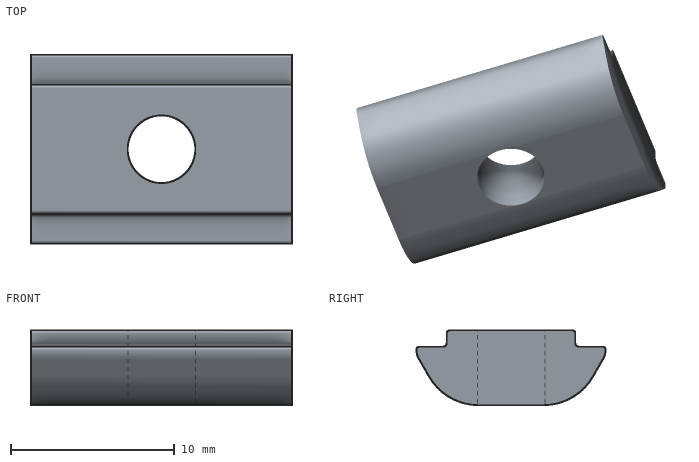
import cadquery as cq
import math

length = 16.0
width = 11.6
height = 4.6

land_width = 7.9
shoulder_z = 3.6
corner_radius = 0.2
inner_radius = 0.2

flank_angle = math.radians(30)
flank_radius = 1.1
bottom_radius = 3.5

hole_diameter = 4.13


def polar(center, radius, angle):
    """Point on a circle in the YZ plane, with the angle measured from +Y."""
    return (center[0] + radius * math.cos(angle), center[1] + radius * math.sin(angle))


def half_profile():
    """Closed +Y half of the cross-section in the YZ plane, bounded by the centre line."""
    half_width = width / 2
    half_land = land_width / 2

    land_center = (half_land - corner_radius, height - corner_radius)
    inner_center = (half_land + inner_radius, shoulder_z + inner_radius)
    shoulder_center = (half_width - corner_radius, shoulder_z - corner_radius)
    flank_center = (half_width - flank_radius, shoulder_z - corner_radius)
    flank_end = polar(flank_center, flank_radius, -flank_angle)

    blend_start_z = bottom_radius * (1 - math.sin(flank_angle))
    blend_start_y = flank_end[0] - (flank_end[1] - blend_start_z) * math.tan(flank_angle)
    bottom_center = (blend_start_y - bottom_radius * math.cos(flank_angle), bottom_radius)

    middle_of_corner = math.radians(45)
    middle_of_inner = math.radians(225)
    middle_of_bottom = -(flank_angle + math.pi / 2) / 2

    return (
        cq.Workplane("YZ")
        .moveTo(0, 0)
        .lineTo(bottom_center[0], 0)
        .threePointArc(
            polar(bottom_center, bottom_radius, middle_of_bottom),
            (blend_start_y, blend_start_z),
        )
        .lineTo(*flank_end)
        .threePointArc(
            polar(flank_center, flank_radius, -flank_angle / 2),
            (half_width, flank_center[1]),
        )
        .threePointArc(
            polar(shoulder_center, corner_radius, middle_of_corner),
            (shoulder_center[0], shoulder_z),
        )
        .lineTo(inner_center[0], shoulder_z)
        .threePointArc(
            polar(inner_center, inner_radius, middle_of_inner),
            (half_land, inner_center[1]),
        )
        .lineTo(half_land, land_center[1])
        .threePointArc(
            polar(land_center, corner_radius, middle_of_corner),
            (land_center[0], height),
        )
        .lineTo(0, height)
        .close()
    )


def nut_body():
    """Full bar: the half section extruded along X and mirrored across the XZ plane."""
    half_body = half_profile().extrude(length / 2, both=True)
    return half_body.union(half_body.mirror("XZ")).clean()


def through_hole():
    """Vertical bore through the middle of the bar."""
    return cq.Workplane("XY").circle(hole_diameter / 2).extrude(height)


result = nut_body().cut(through_hole())